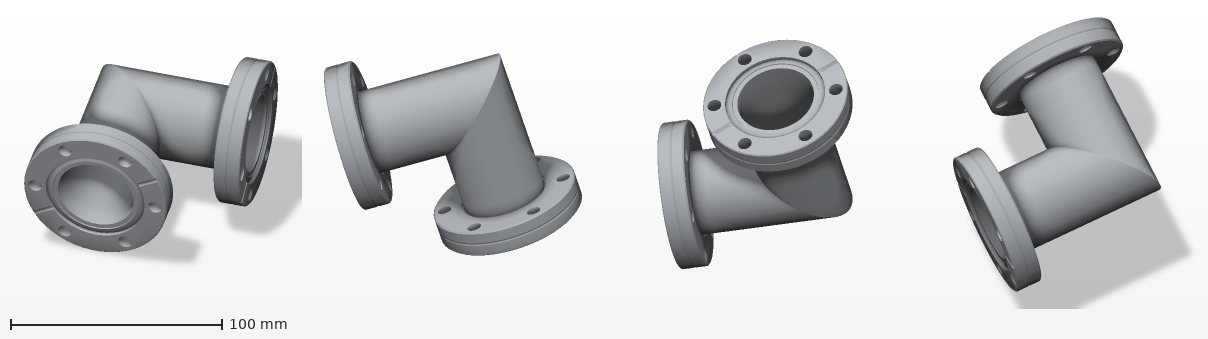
import cadquery as cq

overall = 97.95
flange_radius = 35.0
flange_face = overall - flange_radius
flange_thickness = 12.7
flange_back = flange_face - flange_thickness

tube_radius = 20.0
bore_radius = 18.5

back_chamfer = 0.7
front_chamfer = 0.5
rim_groove_width = 1.5
rim_groove_depth = 0.3

bolt_circle_radius = 29.4
bolt_hole_radius = 3.3
bolt_count = 6

seal_recess_radius = 24.2
seal_recess_depth = 2
knife_tip_radius = 21.0
knife_tip_depth = 0.8
knife_bore_radius = 20.8
tube_end_depth = 1.3

leak_groove_radius = 1.3
leak_groove_depth = 0.6
leak_groove_angle = 30

clearance_radius = 21.0
clearance_depth = 1


def elbow(radius):
    """Round bar with a mitred right-angle corner, ending at the level of the tube ends."""
    end = flange_face - tube_end_depth
    path = cq.Workplane("XY").moveTo(0, -end).lineTo(0, 0).lineTo(end, 0)
    start = cq.Workplane("XZ", origin=(0, -end, 0))
    return start.circle(radius).sweep(path, transition="right")


def flange_body():
    """Flange facing -Y, revolved from a half section of radius and Y."""
    face = -flange_face
    back = -flange_back
    middle = (face + back) / 2
    half_groove = rim_groove_width / 2
    section = [
        (0, back),
        (flange_radius - back_chamfer, back),
        (flange_radius, back - back_chamfer),
        (flange_radius, middle + half_groove),
        (flange_radius - rim_groove_depth, middle),
        (flange_radius, middle - half_groove),
        (flange_radius, face + front_chamfer),
        (flange_radius - front_chamfer, face),
        (seal_recess_radius, face),
        (seal_recess_radius, face + seal_recess_depth),
        (knife_tip_radius, face + knife_tip_depth),
        (knife_bore_radius, face + tube_end_depth),
        (0, face + tube_end_depth),
    ]
    return cq.Workplane("XY").polyline(section).close().revolve(360, (0, 0, 0), (0, 1, 0))


def bolt_holes():
    holes = cq.Workplane("XZ", origin=(0, -flange_back, 0))
    holes = holes.polarArray(bolt_circle_radius, 0, 360, bolt_count)
    return holes.circle(bolt_hole_radius).extrude(flange_thickness)


def leak_grooves():
    """Shallow round-bottomed grooves on opposite sides, from the seal recess out through the rim."""
    axis_y = -flange_face + leak_groove_depth - leak_groove_radius
    bar = cq.Workplane("YZ", origin=(-flange_radius, axis_y, 0))
    bar = bar.circle(leak_groove_radius).extrude(2 * flange_radius)
    core = cq.Workplane("XZ", origin=(0, -flange_back, 0))
    core = core.circle(seal_recess_radius).extrude(2 * flange_thickness)
    return bar.cut(core).rotate((0, 0, 0), (0, 1, 0), -leak_groove_angle)


def tube_clearance():
    ring = cq.Workplane("XZ", origin=(0, -flange_back, 0))
    return ring.circle(clearance_radius).circle(tube_radius).extrude(clearance_depth)


flange = flange_body().cut(bolt_holes()).cut(leak_grooves()).cut(tube_clearance())
turned_flange = flange.rotate((0, 0, 0), (0, 0, 1), 90)

result = elbow(tube_radius).union(flange).union(turned_flange).cut(elbow(bore_radius))